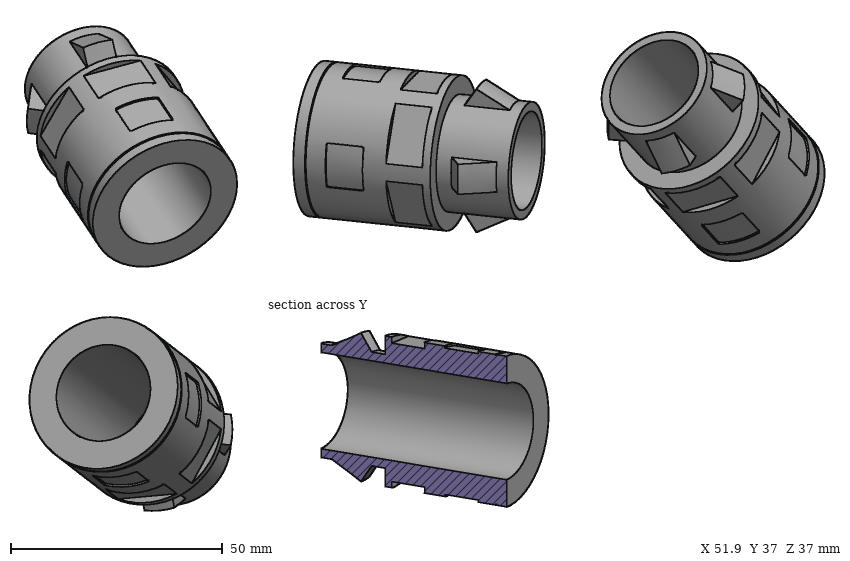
import cadquery as cq
import math

NECK_DIAMETER = 28.0
NECK_LENGTH = 17.9
BODY_DIAMETER = 37.0
BODY_LENGTH = 34.0
BORE_DIAMETER = 23.5
TOTAL_LENGTH = NECK_LENGTH + BODY_LENGTH

END_RING_LENGTH = 2.9
GROOVE_WIDTH = 0.2
GROOVE_DEPTH = 0.2

FLAT_COUNT = 6
ACROSS_FLATS = 34.0
FLAT_LENGTH = 9.0
FLAT_START = NECK_LENGTH + 2.0

WINDOW_COUNT = 4
WINDOW_FLOOR_DIAMETER = 36.0
WINDOW_LENGTH = 9.2
WINDOW_WIDTH = 11.0
WINDOW_CORNER_RADIUS = 0.5
WINDOW_START = 34.7

TOOTH_COUNT = 4
TOOTH_WIDTH = 7.5
TOOTH_START = 3.0
TOOTH_PEAK = 11.2
TOOTH_END = 14.2
TOOTH_PEAK_RADIUS = 18.25


def cylinder(diameter, start, length):
    """Solid cylinder along X."""
    return cq.Workplane("YZ", origin=(start, 0, 0)).circle(diameter / 2).extrude(length)


def ring(outer_diameter, inner_diameter, start, length):
    """Tube along X."""
    return cylinder(outer_diameter, start, length).cut(cylinder(inner_diameter, start, length))


def around_axis(shape, count):
    """Evenly spaced copies of a shape around the X axis."""
    copies = cq.Workplane("YZ")
    for index in range(count):
        copies = copies.add(shape.rotate((0, 0, 0), (1, 0, 0), index * 360 / count))
    return copies.combine()


def sleeve():
    """Neck and body with the parting groove."""
    groove_start = TOTAL_LENGTH - END_RING_LENGTH - GROOVE_WIDTH
    groove_floor = BODY_DIAMETER - 2 * GROOVE_DEPTH
    neck = cylinder(NECK_DIAMETER, 0, NECK_LENGTH)
    body = cylinder(BODY_DIAMETER, NECK_LENGTH, BODY_LENGTH)
    return neck.union(body).cut(ring(BODY_DIAMETER, groove_floor, groove_start, GROOVE_WIDTH))


def wrench_flats():
    """Material outside a hexagon that has one pair of flats facing up and down."""
    across_corners = ACROSS_FLATS / math.cos(math.pi / FLAT_COUNT)
    hexagon = cq.Workplane("YZ", origin=(FLAT_START, 0, 0)).polygon(FLAT_COUNT, across_corners)
    return cylinder(BODY_DIAMETER, FLAT_START, FLAT_LENGTH).cut(hexagon.extrude(FLAT_LENGTH))


def windows():
    """Rounded rectangular recesses with a cylindrical floor."""
    window_center = WINDOW_START + WINDOW_LENGTH / 2
    punch = (
        cq.Workplane("XY")
        .center(window_center, 0)
        .rect(WINDOW_LENGTH, WINDOW_WIDTH)
        .extrude(BODY_DIAMETER)
        .edges("|Z")
        .fillet(WINDOW_CORNER_RADIUS)
    )
    shell = ring(BODY_DIAMETER, WINDOW_FLOOR_DIAMETER, WINDOW_START, WINDOW_LENGTH)
    return around_axis(punch.intersect(shell), WINDOW_COUNT)


def teeth():
    """Snap teeth cut from a double cone, with parallel sides."""
    neck_radius = NECK_DIAMETER / 2
    bore_radius = BORE_DIAMETER / 2
    cone = (
        cq.Workplane("XZ")
        .moveTo(TOOTH_START, bore_radius)
        .lineTo(TOOTH_START, neck_radius)
        .lineTo(TOOTH_PEAK, TOOTH_PEAK_RADIUS)
        .lineTo(TOOTH_END, neck_radius)
        .lineTo(TOOTH_END, bore_radius)
        .close()
        .revolve(360, (0, 0, 0), (1, 0, 0))
    )
    slab = cq.Workplane("XY").rect(2 * TOTAL_LENGTH, TOOTH_WIDTH).extrude(BODY_DIAMETER)
    return around_axis(cone.intersect(slab), TOOTH_COUNT)


bore = cylinder(BORE_DIAMETER, 0, TOTAL_LENGTH)
result = sleeve().cut(wrench_flats()).cut(windows()).union(teeth()).cut(bore)